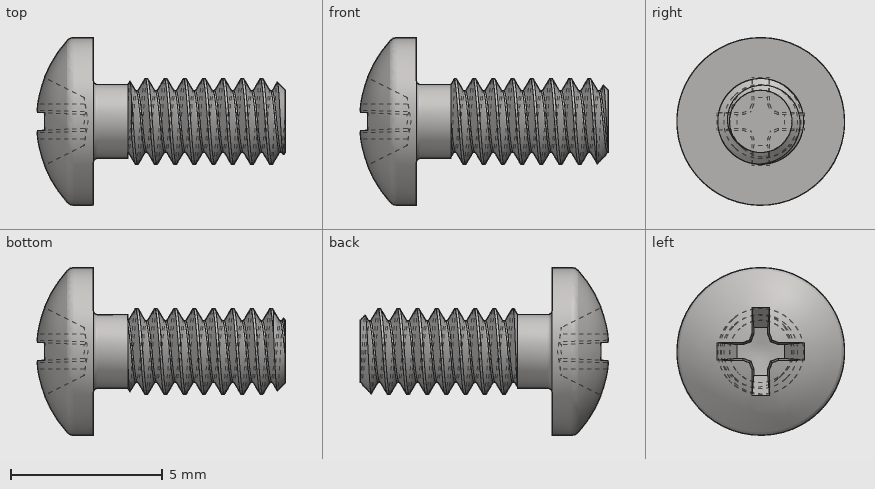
import cadquery as cq
import math

total_length = 8.22

head_radius = 2.78
head_height = 1.87
dome_radius = 3.995
dome_apex = -0.035
rim_fillet = 0.27
neck_fillet = 0.14

shank_radius = 1.225
shank_length = 1.14

thread_radius = 1.42
core_radius = 1.03
tip_radius = 1.035
pitch = (total_length - head_height) / 10
crest_width = pitch / 8
flank_angle = 30.0
root_fillet = 0.07
fillet_sink = 0.004
root_overlap = 0.04
crest_position = 3.14
thread_start = head_height + shank_length

recess_mouth = -0.165
recess_depth = 1.56
wing_rim_reach = 1.455
wing_floor_reach = 0.79
wing_floor_half_width = 0.23
wing_rim_half_width = 0.29
wing_corner = 0.58
corner_angle = 20.0
floor_cone_height = 0.12


def dome_x(radius):
    """X of the dome surface at a distance from the axis."""
    return dome_apex + dome_radius - math.sqrt(dome_radius**2 - radius**2)


def revolve_about_x(profile):
    """Turn a closed (x, radius) outline around the X axis."""
    return profile.close().revolve(360, (0, 0, 0), (1, 0, 0))


def make_head():
    rim_x = dome_x(head_radius)
    middle_radius = head_radius / 2
    outline = (
        cq.Workplane("XY")
        .moveTo(dome_apex, 0)
        .threePointArc((dome_x(middle_radius), middle_radius), (rim_x, head_radius))
        .lineTo(head_height, head_radius)
        .lineTo(head_height, 0)
    )
    head = revolve_about_x(outline)
    return head.edges(cq.selectors.NearestToPointSelector((rim_x, 0, head_radius))).fillet(rim_fillet)


def make_shank():
    """Plain shank with the concave round under the head."""
    arc_offset = neck_fillet * (1 - math.sqrt(0.5))
    outline = (
        cq.Workplane("XY")
        .moveTo(head_height, 0)
        .lineTo(head_height, shank_radius + neck_fillet)
        .threePointArc(
            (head_height + arc_offset, shank_radius + arc_offset),
            (head_height + neck_fillet, shank_radius),
        )
        .lineTo(thread_start, shank_radius)
        .lineTo(thread_start, 0)
    )
    return revolve_about_x(outline)


def make_thread_envelope():
    """Bounds of the thread: a flank-angled start and a 45 degree tip, open past the crests."""
    outer_radius = thread_radius + 0.08
    lead_in = (outer_radius - shank_radius) * math.tan(math.radians(flank_angle))
    tip_chamfer = outer_radius - tip_radius
    outline = (
        cq.Workplane("XY")
        .moveTo(thread_start, 0)
        .lineTo(thread_start, shank_radius)
        .lineTo(thread_start + lead_in, outer_radius)
        .lineTo(total_length - tip_chamfer, outer_radius)
        .lineTo(total_length, tip_radius)
        .lineTo(total_length, 0)
    )
    return revolve_about_x(outline)


def make_ridge():
    """Right-hand helical ridge along X, its flanks rounded into the core."""
    slope = math.tan(math.radians(flank_angle))
    crest_half = crest_width / 2
    root_radius = core_radius - fillet_sink
    flank_foot = crest_half + (thread_radius - root_radius) * slope
    base_half = flank_foot + root_fillet * math.tan(math.radians(45 - flank_angle / 2))
    arc_centre_radius = root_radius + root_fillet

    def on_fillet(angle):
        """Radius and axial place on the upper root fillet, by the angle from its lowest point."""
        turn = math.radians(angle)
        return (
            arc_centre_radius - root_fillet * math.cos(turn),
            base_half - root_fillet * math.sin(turn),
        )

    tangent_angle = 90 - flank_angle
    upper = [on_fillet(tangent_angle), on_fillet(tangent_angle / 2), on_fillet(0)]
    lower = [(radius, -axial) for radius, axial in upper]
    sunk_radius = core_radius - root_overlap

    ridge_start = crest_position - 1.5 * pitch
    turns = math.ceil((total_length + pitch - ridge_start) / pitch)
    helix = cq.Workplane(cq.Wire.makeHelix(pitch, turns * pitch, root_radius))
    ridge = (
        cq.Workplane("XZ")
        .moveTo(sunk_radius, -base_half)
        .lineTo(*lower[2])
        .threePointArc(lower[1], lower[0])
        .lineTo(thread_radius, -crest_half)
        .lineTo(thread_radius, crest_half)
        .lineTo(*upper[0])
        .threePointArc(upper[1], upper[2])
        .lineTo(sunk_radius, base_half)
        .close()
        .sweep(helix, isFrenet=True)
    )
    return ridge.rotate((0, 0, 0), (0, 1, 0), 90).translate((ridge_start, 0, 0))


def make_thread():
    """Threaded core, trimmed to the thread envelope."""
    envelope = make_thread_envelope()
    core = (
        cq.Workplane("YZ", origin=(head_height, 0, 0))
        .circle(core_radius)
        .extrude(total_length - head_height)
        .intersect(envelope)
    )
    return core.union(make_ridge().intersect(envelope), clean=False)


def cross_section(x, reach, half_width):
    """Closed cross outline at one X, whose inner corners are broken by two flats each."""
    corner_lean = math.tan(math.radians(corner_angle))
    corner = (half_width + wing_corner * corner_lean) / (1 + corner_lean)
    points = []
    y_axis, z_axis = (1, 0), (0, 1)
    for _ in range(4):
        for along, across in [
            (reach, -half_width),
            (reach, half_width),
            (wing_corner, half_width),
            (corner, corner),
            (half_width, wing_corner),
        ]:
            y = along * y_axis[0] + across * z_axis[0]
            z = along * y_axis[1] + across * z_axis[1]
            points.append(cq.Vector(x, y, z))
        y_axis, z_axis = z_axis, (-y_axis[0], -y_axis[1])
    return cq.Wire.makePolygon(points, close=True)


def make_recess_cutter():
    """Drafted cross with sloping wing ends, limited by a conical floor."""
    wall_slope = (wing_rim_half_width - wing_floor_half_width) / (recess_depth - dome_x(wing_rim_reach))
    end_slope = (wing_rim_reach - wing_floor_reach) / (recess_depth - dome_x(wing_rim_reach))
    cone_tip = recess_depth + floor_cone_height

    def section_at(x):
        rise = recess_depth - x
        return cross_section(x, wing_floor_reach + rise * end_slope, wing_floor_half_width + rise * wall_slope)

    cross = cq.Solid.makeLoft([section_at(recess_mouth), section_at(cone_tip)], True)
    cone_radius = 3 * wing_floor_reach
    cone_height = floor_cone_height * cone_radius / wing_floor_reach
    floor_outline = (
        cq.Workplane("XY")
        .moveTo(recess_mouth, 0)
        .lineTo(recess_mouth, cone_radius)
        .lineTo(cone_tip - cone_height, cone_radius)
        .lineTo(cone_tip, 0)
    )
    return revolve_about_x(floor_outline).intersect(cq.Workplane(cross))


screw = make_head().union(make_shank()).cut(make_recess_cutter())
result = screw.union(make_thread(), clean=False)